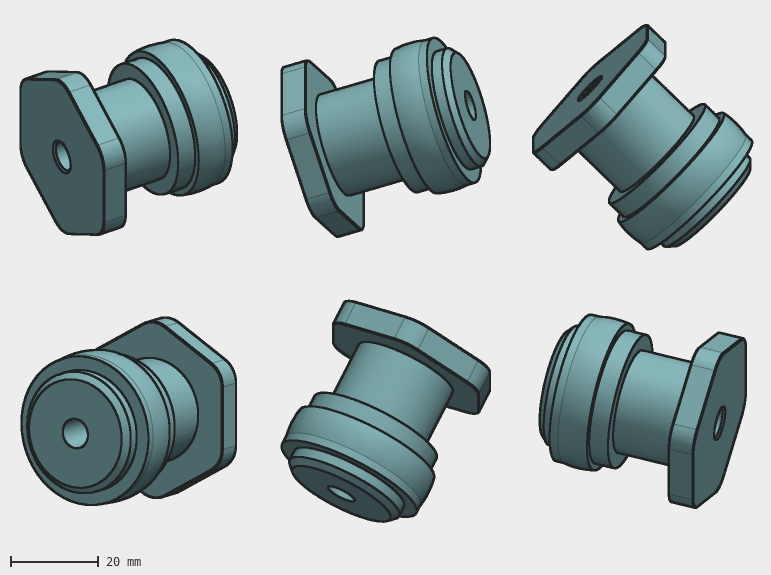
import cadquery as cq
import math

HEAD_SIDES = 6
ACROSS_FLATS = 37.0
HEAD_LENGTH = 6.0
HEAD_CORNER_RADIUS = 6.0
HEAD_EDGE_CHAMFER = 0.2

SHANK_DIAMETER = 24.0
SHANK_LENGTH = 15.5
COLLAR_DIAMETER = 31.2
COLLAR_LENGTH = 4.5
RING_DIAMETER = 34.3
CROWN_DIAMETER = 35.0
CROWN_LENGTH = 7.0
BAND_LENGTH = 2.0
NOSE_DIAMETER = 28.0
NOSE_LENGTH = 4.0
NOSE_CHAMFER = 1.5

HOLE_DIAMETER = 6.78
HOLE_MOUTH_CHAMFER = 0.5

SHANK_END = HEAD_LENGTH + SHANK_LENGTH
COLLAR_END = SHANK_END + COLLAR_LENGTH
CROWN_END = COLLAR_END + CROWN_LENGTH
BAND_END = CROWN_END + BAND_LENGTH
TOTAL_LENGTH = BAND_END + NOSE_LENGTH


def make_head():
    """Hexagonal plate with rounded corners and lightly chamfered rims."""
    half_side_angle = 180 / HEAD_SIDES
    across_corners = ACROSS_FLATS / math.cos(math.radians(half_side_angle))
    return (
        cq.Workplane("XZ")
        .transformed(rotate=(0, 0, half_side_angle))
        .polygon(HEAD_SIDES, across_corners)
        .extrude(-HEAD_LENGTH)
        .edges("|Y")
        .fillet(HEAD_CORNER_RADIUS)
        .faces("<Y or >Y")
        .edges()
        .chamfer(HEAD_EDGE_CHAMFER)
    )


def make_body():
    """Shank, collar, crowned ring and chamfered nose, revolved about Y."""
    shank_radius = SHANK_DIAMETER / 2
    collar_radius = COLLAR_DIAMETER / 2
    ring_radius = RING_DIAMETER / 2
    crown_radius = CROWN_DIAMETER / 2
    nose_radius = NOSE_DIAMETER / 2
    crown_middle = (COLLAR_END + CROWN_END) / 2
    shank_start = HEAD_LENGTH / 2
    return (
        cq.Workplane("XY")
        .moveTo(0, shank_start)
        .lineTo(shank_radius, shank_start)
        .lineTo(shank_radius, SHANK_END)
        .lineTo(collar_radius, SHANK_END)
        .lineTo(collar_radius, COLLAR_END)
        .lineTo(ring_radius, COLLAR_END)
        .threePointArc((crown_radius, crown_middle), (ring_radius, CROWN_END))
        .lineTo(ring_radius, BAND_END)
        .lineTo(nose_radius, BAND_END)
        .lineTo(nose_radius, TOTAL_LENGTH - NOSE_CHAMFER)
        .lineTo(nose_radius - NOSE_CHAMFER, TOTAL_LENGTH)
        .lineTo(0, TOTAL_LENGTH)
        .close()
        .revolve(360, (0, 0, 0), (0, 1, 0))
    )


def make_hole():
    """Through hole along Y, with a 45 degree chamfer at the head face."""
    hole_radius = HOLE_DIAMETER / 2
    mouth_radius = hole_radius + HOLE_MOUTH_CHAMFER
    return (
        cq.Workplane("XY")
        .lineTo(mouth_radius, 0)
        .lineTo(hole_radius, HOLE_MOUTH_CHAMFER)
        .lineTo(hole_radius, TOTAL_LENGTH)
        .lineTo(0, TOTAL_LENGTH)
        .close()
        .revolve(360, (0, 0, 0), (0, 1, 0))
    )


result = make_head().union(make_body()).cut(make_hole())